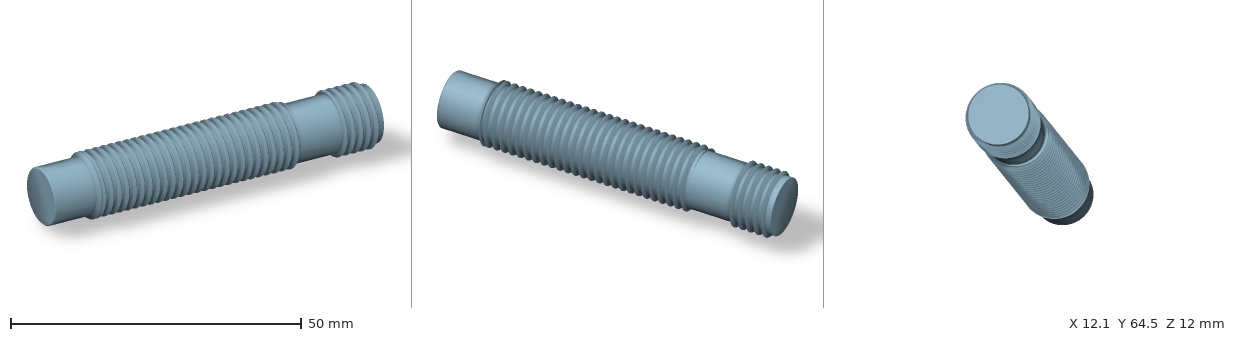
import cadquery as cq

total_length = 64.5

core_radius = 5.3
crest_radius = 6.0
cap_radius = 5.2
collar_radius = core_radius

cap_end = 8.0
main_thread_end = 48.5
rear_thread_start = 56.5
rear_thread_end = 63.35

shoulder_length = 0.65
shoulder_end = cap_end + shoulder_length

ridge_tilt = 1.9
ridge_half_width = 0.45
ridge_sink = 0.2
axis_offset = 0.03
main_first_ridge = 9.3
main_last_ridge = 47.3
main_gaps = 25
ridge_pitch = (main_last_ridge - main_first_ridge) / main_gaps
rear_first_ridge = 56.75
rear_ridges = 5

cap_chamfer = 0.2

window_radius = 1.4
window_depth = 1.3
window_station = 53.2
window_count = 4


def rod(radius, start, end):
    """Solid cylinder on the Y axis from y = start to y = end."""
    return cq.Workplane("XZ", origin=(0, start, 0)).circle(radius).extrude(start - end)


def ridge(station, offset):
    """One tilted V ring centred at y = station."""
    flank_slope = ridge_half_width / (crest_radius - core_radius)
    root_radius = core_radius - ridge_sink
    root_half_width = ridge_half_width + ridge_sink * flank_slope
    profile = [
        (root_radius, -root_half_width),
        (crest_radius, 0),
        (root_radius, root_half_width),
    ]
    ring = cq.Workplane("XY").polyline(profile).close().revolve(360, (0, 0, 0), (0, 1, 0))
    return ring.rotate((0, 0, 0), (0, 0, 1), ridge_tilt).translate((offset, station, 0))


def threaded_section(start, end, first_ridge, count, offset):
    """Core cylinder carrying ridges, trimmed square at both ends."""
    section = rod(core_radius, start, end)
    envelope = rod(2 * crest_radius, start, end)
    for index in range(count):
        section = section.union(ridge(first_ridge + index * ridge_pitch, offset).intersect(envelope))
    return section


def make_shoulder():
    """Cone that widens from the cap to the crest at the front of the main thread."""
    profile = [
        (0, cap_end),
        (cap_radius, cap_end),
        (crest_radius, shoulder_end),
        (0, shoulder_end),
    ]
    return cq.Workplane("XY").polyline(profile).close().revolve(360, (0, 0, 0), (0, 1, 0))


def make_window(angle):
    """Round indicator, outer face flush with the core surface, turned about Y."""
    plug = (
        cq.Workplane("XY", origin=(0, window_station, core_radius - window_depth))
        .circle(window_radius)
        .extrude(2 * window_depth)
        .intersect(rod(core_radius, main_thread_end, rear_thread_start))
    )
    return plug.rotate((0, 0, 0), (0, 1, 0), angle)


def make_housing(windows):
    """Threaded barrel with a pocket for every window."""
    main_ridges = main_gaps + 2
    body = threaded_section(shoulder_end, main_thread_end, main_first_ridge, main_ridges, -axis_offset)
    body = body.union(make_shoulder())
    body = body.union(rod(core_radius, main_thread_end, rear_thread_start))
    rear = threaded_section(rear_thread_start, rear_thread_end, rear_first_ridge, rear_ridges, axis_offset)
    body = body.union(rear)
    for window in windows:
        body = body.cut(window)
    return body


def make_cap():
    """Sensing face cap, front edge chamfered."""
    return rod(cap_radius, 0, cap_end).faces("<Y").edges().chamfer(cap_chamfer)


def make_collar():
    """Plain disc closing the rear end."""
    return rod(collar_radius, rear_thread_end, total_length)


windows = [make_window(index * 360 / window_count) for index in range(window_count)]
housing = make_housing(windows)
cap = make_cap()
collar = make_collar()

result = cq.Compound.makeCompound(
    [housing.val(), cap.val(), collar.val(), *[window.val() for window in windows]]
)